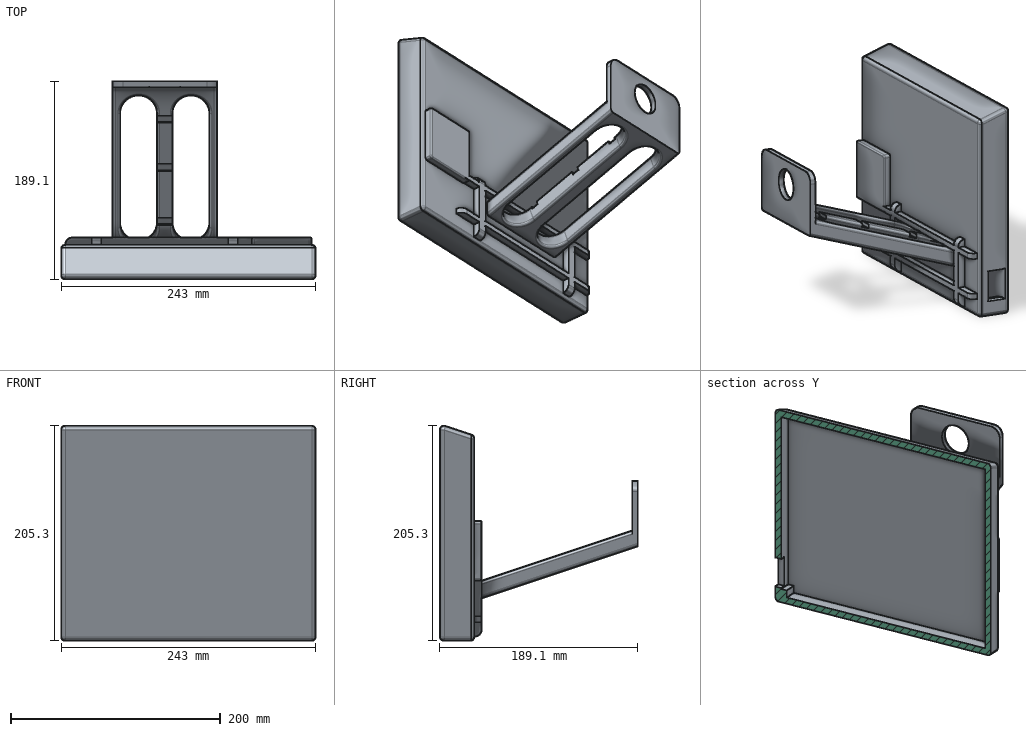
import cadquery as cq
import math

case_width = 243.0
case_top = 205.3
housing_depth = 30.0
lid_thickness = 3.0
case_depth = housing_depth + lid_thickness
edge_radius = 4.0
slope = math.radians(18.43)

top_front = case_top - edge_radius + edge_radius * math.tan(slope) + edge_radius / math.cos(slope)
top_back = top_front - case_depth * math.tan(slope)

side_wall = 7.0
front_wall = 5.0

window_depth = 18.0
window_height = 30.0
window_bottom = 15.4
sill_length = 6.4
sill_drop = 1.0

back_rise = 7.0
bracket_x = 98.9

rib_left = edge_radius
row_width = 5.5
row_heights = [20.7, 60.9]
column_width = 9.0
column_spacing = 130.0
column_bottom = edge_radius
column_top = 70.8
rib_round = 6.8

box_size = 57.0
box_right = case_width - edge_radius
box_top = 114.4
box_corner_radius = 2.5
box_rim_radius = 1.5

bracket_width = 100.0
bracket_back = 189.12
plate_thickness = 5.6
plate_top = 152.6
plate_corner_radius = 10.0
plate_hole_diameter = 30.0
plate_hole_z = 128.7
arm_thickness = 16.1
arm_root_top = 55.1
arm_edge_radius = 3.0

slot_width = 34.8
slot_spacing = 50.0
slot_near = 17.2
slot_far = 132.0
slot_round = 2.5
tolerance = 0.01

groove_width = 7.3
groove_depth = 3.5
groove_places = [23.4, 77.6, 126.2]


def arm_rise(y):
    """Height gained along the slope between the lid and depth y."""
    return (y - case_depth) * math.tan(slope)


def make_case_block():
    """The full rounded outline of housing and lid together."""
    profile = [(0, 0), (case_depth, 0), (case_depth, top_back), (0, top_front)]
    return cq.Workplane("YZ").polyline(profile).close().extrude(case_width).edges().fillet(edge_radius)


def make_slab(y_start, y_end):
    """A slab between two depths, large enough to cover the whole case."""
    slab = cq.Workplane("XY").box(case_width, y_end - y_start, top_front, centered=False)
    return slab.translate((0, y_start, 0))


def make_housing():
    housing = make_case_block().intersect(make_slab(0, housing_depth))
    roof = top_front - side_wall / math.cos(slope)
    hollow_profile = [
        (front_wall, side_wall),
        (housing_depth, side_wall),
        (housing_depth, roof - housing_depth * math.tan(slope)),
        (front_wall, roof - front_wall * math.tan(slope)),
    ]
    hollow = (
        cq.Workplane("YZ", origin=(side_wall, 0, 0))
        .polyline(hollow_profile)
        .close()
        .extrude(case_width - 2 * side_wall)
    )
    sill_height = window_bottom - sill_drop - side_wall
    sill = cq.Workplane("XY").box(sill_length, housing_depth - front_wall, sill_height, centered=False)
    sill = sill.translate((side_wall, front_wall, side_wall))
    window = cq.Workplane("XY").box(side_wall, window_depth, window_height, centered=False)
    window = window.translate((0, front_wall, window_bottom))
    return housing.cut(hollow.cut(sill)).cut(window)


def make_row(z):
    """A rib along X with rounded ends."""
    length = 2 * (bracket_x - rib_left)
    row = cq.Workplane("XY").box(length, back_rise, row_width).edges(">Y and |Z").fillet(rib_round)
    return row.translate((bracket_x, case_depth + back_rise / 2, z))


def make_column(x):
    """A rib along Z with rounded ends."""
    length = column_top - column_bottom
    column = cq.Workplane("XY").box(column_width, back_rise, length).edges(">Y and |X").fillet(rib_round)
    return column.translate((x, case_depth + back_rise / 2, column_bottom + length / 2))


def make_back_box():
    """The raised box beside the ribs, rounded on every edge away from the lid."""
    box = cq.Workplane("XY").box(box_size, back_rise, box_size, centered=False)
    box = box.edges("|Y").fillet(box_corner_radius)
    box = box.faces(">Y").edges().fillet(box_rim_radius)
    return box.translate((box_right - box_size, case_depth, box_top - box_size))


def make_lid():
    lid = make_case_block().intersect(make_slab(housing_depth, case_depth))
    for z in row_heights:
        lid = lid.union(make_row(z))
    for side in (-1, 1):
        lid = lid.union(make_column(bracket_x + side * column_spacing / 2))
    return lid.union(make_back_box())


def make_arm():
    vertical_thickness = arm_thickness / math.cos(slope)
    far_top = arm_root_top + arm_rise(bracket_back)
    profile = [
        (case_depth, arm_root_top),
        (bracket_back, far_top),
        (bracket_back, far_top - vertical_thickness),
        (case_depth, arm_root_top - vertical_thickness),
    ]
    arm = (
        cq.Workplane("YZ", origin=(bracket_x - bracket_width / 2, 0, 0))
        .polyline(profile)
        .close()
        .extrude(bracket_width)
    )
    arm = arm.edges("not (|X or |Z)").fillet(arm_edge_radius)

    face = cq.Workplane(cq.Plane(
        origin=(bracket_x, case_depth, arm_root_top),
        xDir=(1, 0, 0),
        normal=(0, -math.sin(slope), math.cos(slope)),
    ))
    slot_middle = (slot_near + slot_far) / 2
    slots = (
        face.pushPoints([(side * slot_spacing / 2, slot_middle) for side in (-1, 1)])
        .slot2D(slot_far - slot_near + slot_width, slot_width, 90)
        .extrude(-arm_thickness)
    )
    web_width = slot_spacing - slot_width
    grooves = face.pushPoints([(0, place) for place in groove_places]).rect(web_width, groove_width)
    arm = arm.cut(slots).cut(grooves.extrude(-groove_depth))

    def is_rounded_rim(edge):
        middle = face.plane.toLocalCoords(edge.Center())
        within_slots = abs(middle.x) < slot_spacing / 2 + slot_width / 2 + tolerance
        follows_slot = edge.geomType() == "CIRCLE" or abs(edge.tangentAt(0).x) < tolerance
        on_top = abs(middle.z) < tolerance
        on_bottom = abs(middle.z + arm_thickness) < tolerance
        on_sharp_side = (
            on_top
            and abs(middle.x - web_width / 2) < tolerance
            and groove_places[0] < middle.y < groove_places[-1]
        )
        return within_slots and follows_slot and (on_top or on_bottom) and not on_sharp_side

    rims = [edge for edge in arm.edges().vals() if is_rounded_rim(edge)]
    return arm.newObject(rims).fillet(slot_round)


def make_plate():
    """The upright plate, rising from the far end of the arm's upper face."""
    bottom = arm_root_top + arm_rise(bracket_back - plate_thickness) - arm_edge_radius / math.cos(slope)
    plate = cq.Workplane("XY").box(bracket_width, plate_thickness, plate_top - bottom, centered=False)
    plate = plate.edges("|Y and >Z").fillet(plate_corner_radius)
    plate = plate.translate((bracket_x - bracket_width / 2, bracket_back - plate_thickness, bottom))
    hole = (
        cq.Workplane("XZ", origin=(bracket_x, bracket_back, plate_hole_z))
        .circle(plate_hole_diameter / 2)
        .extrude(plate_thickness)
    )
    return plate.cut(hole)


def make_bracket():
    return make_arm().union(make_plate())


housing = make_housing()
lid = make_lid()
bracket = make_bracket()

result = cq.Compound.makeCompound([housing.val(), lid.val(), bracket.val()])